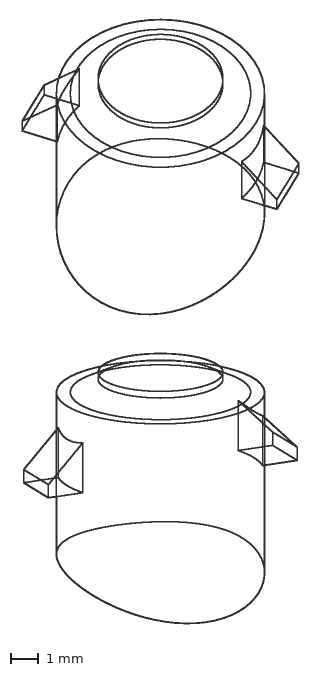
import cadquery as cq

body_radius = 3.75
body_depth = 9.0

cone_base_radius = 3.25
disc_radius = 2.25
cone_height = 0.5
disc_height = 0.25

lug_reach = 5.0
lug_width = 2.0
lug_bottom_z = -3.0
lug_outer_height = 0.5
lug_root_x = 3.0

underside_back_z = -6.11
underside_middle_z = -7.49
underside_front_z = -7.62
crosswise_radius = 7.2
cutter_outer_z = -12.0


def make_body():
    return cq.Workplane("XY").circle(body_radius).extrude(-body_depth)


def make_neck():
    top_z = cone_height + disc_height
    return (
        cq.Workplane("XZ")
        .polyline([
            (0, 0),
            (cone_base_radius, 0),
            (disc_radius, cone_height),
            (disc_radius, top_z),
            (0, top_z),
        ])
        .close()
        .revolve(360, (0, 0), (0, 1))
    )


def make_lug(side):
    """Wedge lug with a 45 degree upper face; side is +1 or -1 along X."""
    outer_top_z = lug_bottom_z + lug_outer_height
    root_top_z = outer_top_z + lug_reach - lug_root_x
    return (
        cq.Workplane("XZ")
        .polyline([
            (side * lug_root_x, lug_bottom_z),
            (side * lug_reach, lug_bottom_z),
            (side * lug_reach, outer_top_z),
            (side * lug_root_x, root_top_z),
        ])
        .close()
        .extrude(lug_width / 2, both=True)
    )


def make_underside_cutter():
    """Ring whose inner wall is the dome: a lengthwise arc turned about a tilted axis."""
    axis_z = underside_middle_z + crosswise_radius
    axis_slope = (underside_back_z - underside_front_z) / (2 * body_radius)
    return (
        cq.Workplane("YZ")
        .moveTo(-body_radius, underside_front_z)
        .threePointArc((0, underside_middle_z), (body_radius, underside_back_z))
        .lineTo(body_radius, cutter_outer_z)
        .lineTo(-body_radius, cutter_outer_z)
        .close()
        .revolve(360, (0, axis_z), (1, axis_z + axis_slope))
    )


result = make_body().cut(make_underside_cutter()).union(make_neck())
for side in (-1, 1):
    result = result.union(make_lug(side))